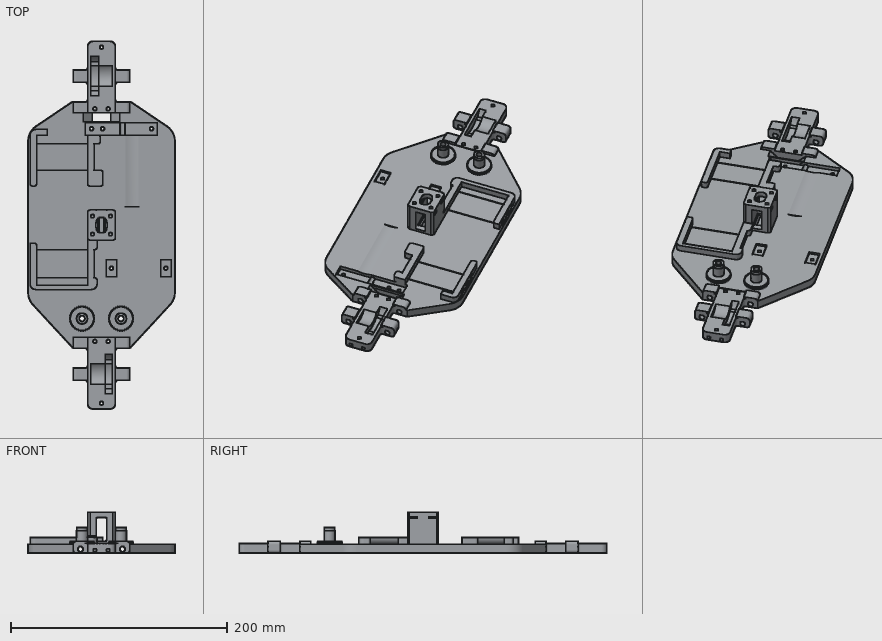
import cadquery as cq
import math

LENGTH = 340.0
WIDTH = 136.0
HEIGHT = 38.0
PLATE_T = 8.5
PLATE_END_Y = 114.0
REAR_END_HALF_W = 27.2
FRONT_SHOULDER_Y = -68.7
REAR_SHOULDER_Y = 86.5
SHOULDER_R = 17.0
SCREW_D = 3.2
PICK_MARGIN = 0.5

ARM_HALF_W = 13.0
ARM_T = 9.2
ARM_ROOT_Y = 103.7
ARM_TIP_R = 5.0
ARM_CORNER_R = 2.0
ARM_ROOT_SCREW_X = 6.0
ARM_ROOT_SCREW_Y = 107.5
ARM_TIP_SCREW_Y = 164.5
ARM_END_HOLE_Z = 2.7
ARM_END_HOLE_DEPTH = 6.8

LUG_HALF_W = 26.2
LUG_TOP = 11.2
LUG_R = 3.0
WHEEL_Y = 137.7
WHEEL_LUG_LEN = 11.5
PIVOT_X = 19.5
PIVOT_Z = 3.7
PIVOT_D = 4.8

AXLE_Z = 18.5
MOTOR_R = 13.3
GEAR_R = 20.5
GEAR_GROOVE_R = 20.0
GEAR_GROOVE_AXIS_Z = 20.7
GEAR_LEDGE_Z = 3.0
GEAR_SIDE_X = 10.0
GEAR_INNER_X = {-1: 3.5, 1: 2.5}

RAIL_TOP = 14.5
RAIL_BOTTOM = 2.0
RAIL_LEFT = -66.0
RAIL_W = 6.0
RAIL_RIGHT = -13.0
NECK_X = RAIL_RIGHT + RAIL_W
RAIL_CORNER_R = 5.0
RAIL_END_R = 2.5
STRAP_DEPTH = 0.7
STRAP_ROUND_R = 6.0
REAR_STRAP = (50.5, 75.0)
FRONT_STRAP = (-48.5, -22.8)
REAR_RAIL_START = 36.0
REAR_RAIL_END = 88.5
REAR_TAB_X = -50.3
REAR_TAB_Y = 83.3
REAR_FOOT_X = 1.5
REAR_HEAD_X = -1.0
FRAME_BOTTOM = -59.5
FRAME_INNER = -55.5
FRAME_LEFT_END = -16.5
FRAME_RIGHT_END = -11.5
FRAME_RIGHT = -4.0

TOWER_LEN = 28.2
TOWER_CHAMFER_X = 2.5
TOWER_CHAMFER_Y = 1.5
WINDOW_HALF_W = 4.8
WINDOW_SILL = 11.2
WINDOW_TOP = 33.0
WINDOW_CORNER_R = 1.5
TOWER_SCREW_PITCH = 16.5
TOWER_SLOT_W = 10.2
TOWER_SLOT_LEN = 14.3
HOPPER_LEN = 17.0
RAIL_CLEARANCE_TOP = 16.3
NUT_SLOT_W = 5.8
NUT_SLOT_H = 1.5
NUT_SLOT_BOTTOM = 32.3
NUT_SLOT_DEPTH = 7.5

GEAR_POST_X = 18.0
GEAR_POST_Y = -86.5
TOOTH_COUNT = 36
TOOTH_ROOT_R = 10.5
TOOTH_TIP_R = 11.5
GEAR_RIM_Z = 10.2
GEAR_TOP = 11.2
GEAR_DISC_D = 22.0
POST_D = 10.2
POST_CAP_D = 10.0
POST_BORE = 5.0
POST_SHOULDER = 20.7
POST_TOP = 23.8

SERVO_SLOT_LEFT = -15.0
SERVO_SLOT_RIGHT = 51.7
SERVO_SLOT_Y = (83.3, 94.5)
SERVO_FLOOR = 4.8
SERVO_SCREWS = (-9.2, 1.0, 46.2)
SERVO_SCREW_Y = 89.0
HORN_SLOT_HALF_W = 8.5
HORN_SLOT_Y = (95.5, 103.7)
ROD_GROOVE_X = 28.2
ROD_GROOVE_R = 21.8
ROD_GROOVE_DEPTH = 0.9
ROD_GROOVE_START = 17.0
PAD_XS = (9.2, 59.5)
PAD_Y = -39.8
PAD_W = 10.0
PAD_LEN = 16.0
PAD_DEPTH = 2.0


def block(x, y, z):
    """Box spanning the given (low, high) ranges."""
    size = (x[1] - x[0], y[1] - y[0], z[1] - z[0])
    return cq.Workplane("XY").box(*size, centered=False).translate((x[0], y[0], z[0]))


def slab(points, bottom, top):
    """Prism with a polygonal outline in plan."""
    return cq.Workplane("XY").workplane(offset=bottom).polyline(points).close().extrude(top - bottom)


def round_corners(body, corners, radius):
    """Fillet the vertical edges that stand at the given plan points."""
    for x, y in corners:
        near = (x - PICK_MARGIN, y - PICK_MARGIN, -PICK_MARGIN)
        far = (x + PICK_MARGIN, y + PICK_MARGIN, HEIGHT)
        body = body.edges(cq.selectors.BoxSelector(near, far)).fillet(radius)
    return body


def rod(x, y, z, diameter, length):
    """Vertical cylinder standing on height z."""
    return cq.Workplane("XY").workplane(offset=z).center(x, y).circle(diameter / 2).extrude(length)


def x_cylinder(x, y, z, radius):
    """Cylinder along X spanning the given x range."""
    return cq.Workplane("YZ").workplane(offset=x[0]).center(y, z).circle(radius).extrude(x[1] - x[0])


def y_cylinder(x, y, z, radius):
    """Cylinder along Y spanning the given y range."""
    return cq.Workplane("XZ").workplane(offset=-y[1]).center(x, z).circle(radius).extrude(y[1] - y[0])


def screw_hole(x, y):
    return rod(x, y, 0, SCREW_D, HEIGHT)


def mirrored_range(side, near, far):
    """Range from near to far on the positive side, or its mirror image."""
    return (near, far) if side > 0 else (-far, -near)


def plate():
    right = [
        (LUG_HALF_W, -PLATE_END_Y),
        (WIDTH / 2, FRONT_SHOULDER_Y),
        (WIDTH / 2, REAR_SHOULDER_Y),
        (REAR_END_HALF_W, PLATE_END_Y),
    ]
    left = [(-x, y) for x, y in reversed(right)]
    body = slab(right + left, 0, PLATE_T)
    return round_corners(body, right[1:3] + left[1:3], SHOULDER_R)


def arm(side):
    """Wheel arm with its four lugs; side is +1 for the rear, -1 for the front."""
    tip = LENGTH / 2
    beam = block((-ARM_HALF_W, ARM_HALF_W), mirrored_range(side, ARM_ROOT_Y, tip), (0, ARM_T))
    beam = round_corners(beam, [(x, side * tip) for x in (-ARM_HALF_W, ARM_HALF_W)], ARM_TIP_R)

    wheel_lug = (WHEEL_Y - WHEEL_LUG_LEN / 2, WHEEL_Y + WHEEL_LUG_LEN / 2)
    inner_x = ARM_HALF_W + ARM_CORNER_R
    for near, far in ((ARM_ROOT_Y, PLATE_END_Y), wheel_lug):
        y = mirrored_range(side, near, far)
        bar = block((-LUG_HALF_W, LUG_HALF_W), y, (0, LUG_TOP)).edges("|Y").fillet(LUG_R)
        bar = bar.cut(block((-ARM_HALF_W, ARM_HALF_W), y, (ARM_T, LUG_TOP)))
        beam = beam.union(bar)

    corners = [PLATE_END_Y, *wheel_lug]
    for end, outward in zip(corners, (1, -1, 1)):
        strip = mirrored_range(side, *sorted((end, end + outward * ARM_CORNER_R)))
        web = block((-inner_x, inner_x), strip, (0, ARM_T))
        for x in (-inner_x, inner_x):
            web = web.cut(rod(x, side * (end + outward * ARM_CORNER_R), 0, 2 * ARM_CORNER_R, ARM_T))
        beam = beam.union(web)
    return beam


def arm_cuts(side):
    """Motor and gear clearances and the screw holes of one arm."""
    y = side * WHEEL_Y
    inner = GEAR_INNER_X[side]
    if side > 0:
        gear_x = (-GEAR_SIDE_X, -inner)
        motor_x = (-inner, GEAR_SIDE_X)
    else:
        gear_x = (inner, GEAR_SIDE_X)
        motor_x = (-GEAR_SIDE_X, inner)
    above_ledge = block(gear_x, (y - GEAR_R, y + GEAR_R), (GEAR_LEDGE_Z, HEIGHT))
    cuts = x_cylinder(gear_x, y, AXLE_Z, GEAR_R).intersect(above_ledge)
    cuts = cuts.union(x_cylinder(gear_x, y, GEAR_GROOVE_AXIS_Z, GEAR_GROOVE_R))
    cuts = cuts.union(x_cylinder(motor_x, y, AXLE_Z, MOTOR_R))
    cuts = cuts.union(screw_hole(0, side * ARM_TIP_SCREW_Y))
    end_range = mirrored_range(side, LENGTH / 2 - ARM_END_HOLE_DEPTH, LENGTH / 2)
    for x in (-ARM_ROOT_SCREW_X, ARM_ROOT_SCREW_X):
        cuts = cuts.union(screw_hole(x, side * ARM_ROOT_SCREW_Y))
        cuts = cuts.union(y_cylinder(x, end_range, ARM_END_HOLE_Z, SCREW_D / 2))
    return cuts


def round_strap_seat(rails, inner_x, outward, strap):
    """Round the outer underside of a rail where the strap runs beneath it."""
    outer_x = inner_x + outward * RAIL_W
    waste = block(tuple(sorted((inner_x, outer_x))), strap, (PLATE_T - STRAP_DEPTH, RAIL_TOP))
    return rails.cut(waste.cut(y_cylinder(inner_x, strap, RAIL_TOP, STRAP_ROUND_R)))


def rear_rails():
    left_inner = RAIL_LEFT + RAIL_W
    left = slab(
        [
            (RAIL_LEFT, REAR_RAIL_START),
            (RAIL_LEFT, REAR_RAIL_END),
            (REAR_TAB_X, REAR_RAIL_END),
            (REAR_TAB_X, REAR_TAB_Y),
            (left_inner, REAR_TAB_Y),
            (left_inner, REAR_RAIL_START),
        ],
        RAIL_BOTTOM,
        RAIL_TOP,
    )
    left = round_corners(left, [(RAIL_LEFT, REAR_RAIL_END)], RAIL_CORNER_R)
    left = round_corners(left, [(RAIL_LEFT, REAR_RAIL_START), (left_inner, REAR_RAIL_START)], RAIL_END_R)
    right_points = [
        (RAIL_RIGHT, REAR_RAIL_START),
        (REAR_FOOT_X, REAR_RAIL_START),
        (REAR_FOOT_X, REAR_STRAP[0]),
        (NECK_X, REAR_STRAP[0]),
        (NECK_X, REAR_STRAP[1]),
        (REAR_HEAD_X, REAR_STRAP[1]),
        (REAR_HEAD_X, REAR_TAB_Y),
        (RAIL_RIGHT, REAR_TAB_Y),
    ]
    right = slab(right_points, RAIL_BOTTOM, RAIL_TOP)
    right = round_corners(right, right_points[:3] + right_points[5:7], RAIL_END_R)
    return left.union(right)


def front_frame():
    left_inner = RAIL_LEFT + RAIL_W
    points = [
        (RAIL_LEFT, FRAME_LEFT_END),
        (RAIL_LEFT, FRAME_BOTTOM),
        (FRAME_RIGHT, FRAME_BOTTOM),
        (FRAME_RIGHT, FRONT_STRAP[0]),
        (NECK_X, FRONT_STRAP[0]),
        (NECK_X, FRONT_STRAP[1]),
        (FRAME_RIGHT, FRONT_STRAP[1]),
        (FRAME_RIGHT, FRAME_RIGHT_END),
        (RAIL_RIGHT, FRAME_RIGHT_END),
        (RAIL_RIGHT, FRAME_INNER),
        (left_inner, FRAME_INNER),
        (left_inner, FRAME_LEFT_END),
    ]
    frame = slab(points, RAIL_BOTTOM, RAIL_TOP)
    frame = round_corners(frame, points[1:3], RAIL_CORNER_R)
    return round_corners(frame, [points[3], points[6], points[11]], RAIL_END_R)


def strap_channel(strap):
    """Shallow channel across the plate below a battery strap."""
    return block((RAIL_LEFT, NECK_X), strap, (PLATE_T - STRAP_DEPTH, PLATE_T))


def tower():
    half_x = ARM_HALF_W
    half_y = TOWER_LEN / 2
    outline = []
    for sx, sy in ((1, 1), (-1, 1), (-1, -1), (1, -1)):
        side_point = (sx * half_x, sy * (half_y - TOWER_CHAMFER_Y))
        end_point = (sx * (half_x - TOWER_CHAMFER_X), sy * half_y)
        outline += [side_point, end_point] if sx == sy else [end_point, side_point]
    body = slab(outline, PLATE_T, HEIGHT)

    window = block((-WINDOW_HALF_W, WINDOW_HALF_W), (-half_y, half_y), (WINDOW_SILL, WINDOW_TOP))
    body = body.cut(window.edges("|Y").fillet(WINDOW_CORNER_R))
    rail_gap_z = (PLATE_T, RAIL_CLEARANCE_TOP)
    body = body.cut(block((-half_x, -WINDOW_HALF_W), (-half_y, FRAME_RIGHT_END), rail_gap_z))

    drop = WINDOW_SILL - PLATE_T
    hopper = (
        cq.Workplane("XZ", origin=(0, HOPPER_LEN / 2, 0))
        .polyline([
            (-WINDOW_HALF_W, WINDOW_SILL),
            (WINDOW_HALF_W, WINDOW_SILL),
            (WINDOW_HALF_W - drop, PLATE_T),
            (drop - WINDOW_HALF_W, PLATE_T),
        ])
        .close()
        .extrude(HOPPER_LEN)
    )
    body = body.cut(hopper)

    roof = cq.Workplane("XY").workplane(offset=WINDOW_TOP)
    body = body.cut(roof.slot2D(TOWER_SLOT_LEN, TOWER_SLOT_W, 90).extrude(HEIGHT - WINDOW_TOP))
    nut_z = (NUT_SLOT_BOTTOM, NUT_SLOT_BOTTOM + NUT_SLOT_H)
    for sx in (-1, 1):
        for sy in (-1, 1):
            x = sx * TOWER_SCREW_PITCH / 2
            y = sy * TOWER_SCREW_PITCH / 2
            body = body.cut(rod(x, y, NUT_SLOT_BOTTOM, SCREW_D, HEIGHT))
            nut_x = mirrored_range(sx, half_x - NUT_SLOT_DEPTH, half_x)
            body = body.cut(block(nut_x, (y - NUT_SLOT_W / 2, y + NUT_SLOT_W / 2), nut_z))
    return body


def gear_post(x):
    """Toothed wheel below a thin disc, with a stepped post standing on it."""
    pitch = 2 * math.pi / TOOTH_COUNT
    teeth = []
    for i in range(TOOTH_COUNT):
        for radius, turn in ((TOOTH_ROOT_R, 0), (TOOTH_TIP_R, 0.5)):
            angle = (i + turn) * pitch
            teeth.append((x + radius * math.cos(angle), GEAR_POST_Y + radius * math.sin(angle)))
    post = slab(teeth, PLATE_T, GEAR_RIM_Z)
    post = post.union(rod(x, GEAR_POST_Y, GEAR_RIM_Z, GEAR_DISC_D, GEAR_TOP - GEAR_RIM_Z))
    post = post.union(rod(x, GEAR_POST_Y, PLATE_T, POST_D, POST_SHOULDER - PLATE_T))
    return post.union(rod(x, GEAR_POST_Y, POST_SHOULDER, POST_CAP_D, POST_TOP - POST_SHOULDER))


def horn_slot():
    """Slot through the plate with 45 degree ends."""
    flare = HORN_SLOT_HALF_W + PLATE_T
    return (
        cq.Workplane("XZ", origin=(0, HORN_SLOT_Y[1], 0))
        .polyline([
            (-HORN_SLOT_HALF_W, 0),
            (HORN_SLOT_HALF_W, 0),
            (flare, PLATE_T),
            (-flare, PLATE_T),
        ])
        .close()
        .extrude(HORN_SLOT_Y[1] - HORN_SLOT_Y[0])
    )


def plate_cuts():
    """Servo recess, rod groove, screw pads and pivot holes."""
    cuts = block((SERVO_SLOT_LEFT, SERVO_SLOT_RIGHT), SERVO_SLOT_Y, (SERVO_FLOOR, RAIL_TOP))
    for x in SERVO_SCREWS:
        cuts = cuts.union(screw_hole(x, SERVO_SCREW_Y))
    groove_z = PLATE_T - ROD_GROOVE_DEPTH + ROD_GROOVE_R
    groove_y = (ROD_GROOVE_START, SERVO_SLOT_Y[0])
    cuts = cuts.union(y_cylinder(ROD_GROOVE_X, groove_y, groove_z, ROD_GROOVE_R))
    for x in PAD_XS:
        pad_x = (x - PAD_W / 2, x + PAD_W / 2)
        pad_y = (PAD_Y - PAD_LEN / 2, PAD_Y + PAD_LEN / 2)
        cuts = cuts.union(block(pad_x, pad_y, (PLATE_T - PAD_DEPTH, PLATE_T)))
        cuts = cuts.union(screw_hole(x, PAD_Y))
    for x in (-PIVOT_X, PIVOT_X):
        cuts = cuts.union(y_cylinder(x, (-LENGTH / 2, LENGTH / 2), PIVOT_Z, PIVOT_D / 2))
    return cuts


chassis = plate()
rails = rear_rails().union(front_frame())
for strap in (REAR_STRAP, FRONT_STRAP):
    chassis = chassis.cut(strap_channel(strap))
    rails = round_strap_seat(rails, RAIL_LEFT + RAIL_W, -1, strap)
    rails = round_strap_seat(rails, RAIL_RIGHT, 1, strap)
chassis = chassis.union(rails).union(tower())

for end in (-1, 1):
    chassis = chassis.union(arm(end)).cut(arm_cuts(end))
chassis = chassis.cut(plate_cuts()).cut(horn_slot())

for x in (-GEAR_POST_X, GEAR_POST_X):
    chassis = chassis.union(gear_post(x)).cut(rod(x, GEAR_POST_Y, 0, POST_BORE, HEIGHT))

result = chassis